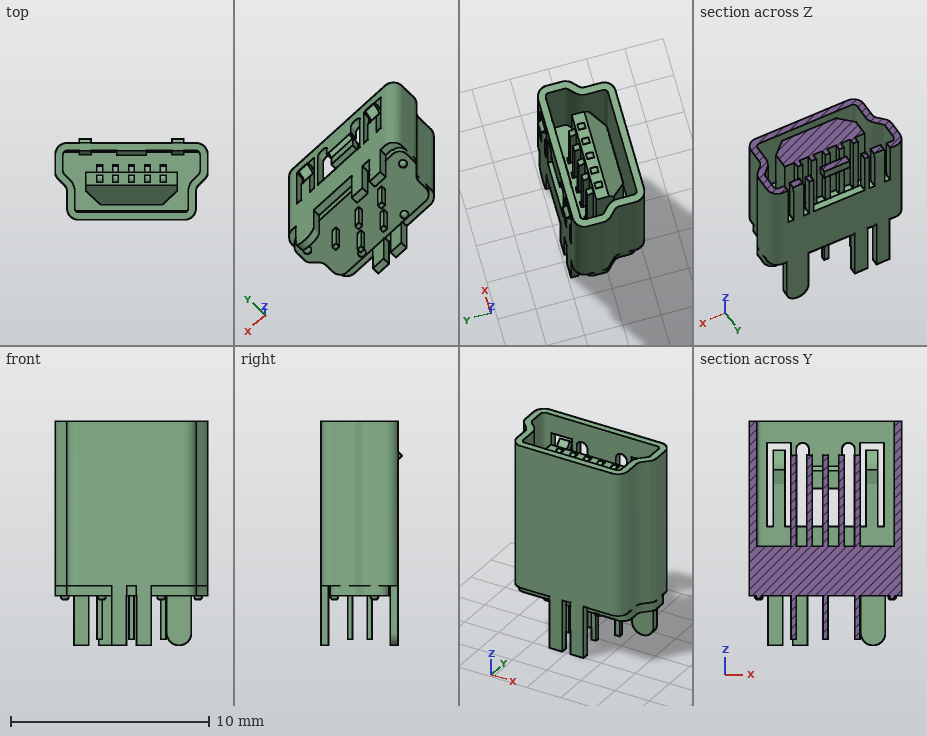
import cadquery as cq
import math


total_height = 11.3
shell_width = 7.7
shell_depth = 3.89
shell_bottom = 3.01
wall = 0.4
narrow_inset = 0.59
shell_step_y = 2.2
shell_corner_radius = 0.6
shell_neck_radius = 0.37

base_bottom = 2.5
floor_height = 5.01
base_front = 0.45
base_back = 3.44
base_step_y = 2.24
base_corner_radius = 0.5
base_step_radius = 0.3
base_neck_radius = 0.49
foot_radius = 0.2
foot_height = 0.19
foot_rounding = 0.15
foot_centres = [(-3.36, 2.7), (-1.49, 0.68), (1.49, 0.68), (3.36, 2.7)]

tongue_top = 10.28
tongue_width = 4.63
tongue_front_width = 3.12
tongue_back = 2.4
tongue_front = 0.77
tongue_corner_y = 1.48
tongue_slope_y = 1.74

contact_pitch = 0.8
contact_count = 5
contact_width = 0.29
bump_front = 1.9
bump_back = 2.26
bump_height = 0.08
contact_shoulder_y = 2.71
contact_top = 9.72
clearance_back = 2.79
clearance_depth = 0.45

pin_width = 0.27
pin_depth = 0.25
pin_bottom = 0.3
pin_front_row_y = 1.47
pin_back_row_y = 2.45

leg_width = 0.76
front_leg_x = 0.62
back_leg_centres = [-2.53, -1.28]
round_leg_width = 1.25
round_leg_x = 2.4

opening_top = 10.2
opening_bottom = 6.0
side_opening_width = 1.2
side_spring_x = 2.34
side_spring_width = 0.6
slot_x = 1.15
slot_width = 0.63
latch_width = 1.49
latch_bend_top = 9.04
latch_lip_bottom = 7.91
latch_reach = 0.23
spring_bend_start = 8.14
spring_bend_end = 8.86
spring_bulge = 0.2
spring_bend_radius = 1.11
bend_angle = 45.0
spring_tip_length = 0.28

inner_back = shell_depth - wall
half_step_tangent = math.tan(math.radians(45 / 2))
cos45 = math.cos(math.radians(45))
full_round = 0.499


def block(x_range, y_range, z_range):
    """Axis-aligned box between the given limits."""
    size = [high - low for low, high in (x_range, y_range, z_range)]
    corner = (x_range[0], y_range[0], z_range[0])
    return cq.Workplane("XY").box(*size, centered=False).translate(corner)


def centred_block(x, width, y_range, z_range):
    """Box of the given width centred on x."""
    return block((x - width / 2, x + width / 2), y_range, z_range)


def extrude_along_x(profile, x, width):
    """Extrude a closed YZ profile symmetrically about x."""
    return profile.extrude(width / 2, both=True).translate((x, 0, 0))


def stepped_prism(width, front, back, step_y, corner_radius, step_radius, neck_radius, bottom, top):
    """Prism with the socket outline: wide at the back, stepped in at 45 degrees to a narrow front."""
    wide = width / 2
    narrow = wide - narrow_inset
    neck_y = step_y - narrow_inset
    right_side = [(narrow, front), (narrow, neck_y), (wide, step_y), (wide, back)]
    left_side = [(-x, y) for x, y in reversed(right_side)]
    prism = (
        cq.Workplane("XY", origin=(0, 0, bottom))
        .polyline(right_side + left_side)
        .close()
        .extrude(top - bottom)
    )
    margin = 0.01
    radius_at_y = {front: corner_radius, neck_y: neck_radius, step_y: step_radius, back: corner_radius}
    for y, radius in radius_at_y.items():
        edges_at_y = cq.selectors.BoxSelector(
            (-width, y - margin, bottom - margin), (width, y + margin, top + margin)
        )
        prism = prism.edges("|Z").edges(edges_at_y).fillet(radius)
    return prism


def make_cavity():
    """Space inside the shell, a constant wall thickness from its outside."""
    inner_radius = shell_corner_radius - wall
    return stepped_prism(
        shell_width - 2 * wall, wall, inner_back, shell_step_y + wall * half_step_tangent,
        inner_radius, inner_radius, shell_neck_radius + wall, shell_bottom, total_height,
    )


def make_shell():
    outside = stepped_prism(
        shell_width, 0, shell_depth, shell_step_y,
        shell_corner_radius, shell_corner_radius, shell_neck_radius, shell_bottom, total_height,
    )
    shell = outside.cut(make_cavity())
    wall_range = (inner_back, shell_depth)
    for side in (-1, 1):
        opening = centred_block(
            side * side_spring_x, side_opening_width, wall_range, (opening_bottom, opening_top)
        )
        slot = centred_block(side * slot_x, slot_width, wall_range, (opening_bottom, opening_top))
        slot = slot.edges("|Y and >Z").fillet(full_round * slot_width)
        shell = shell.cut(opening).cut(slot)
    latch_gap = centred_block(0, 2 * slot_x, wall_range, (opening_bottom, latch_bend_top))
    return shell.cut(latch_gap)


def make_side_spring(x):
    """Spring strip rising from the opening's lower edge, bowed inward, its tip bent out at 45 degrees."""
    bow_inner = inner_back - spring_bulge
    bow_outer = bow_inner + wall
    bend_centre = (bow_inner + spring_bend_radius, spring_bend_end)

    def bend_point(radius, degrees):
        angle = math.radians(degrees)
        return bend_centre[0] - radius * math.cos(angle), bend_centre[1] + radius * math.sin(angle)

    def tip_corner(radius):
        y, z = bend_point(radius, bend_angle)
        return y + spring_tip_length * cos45, z + spring_tip_length * cos45

    inner_radius = spring_bend_radius
    outer_radius = spring_bend_radius - wall
    profile = (
        cq.Workplane("YZ")
        .moveTo(inner_back, opening_bottom)
        .lineTo(inner_back, spring_bend_start)
        .lineTo(bow_inner, spring_bend_end)
        .threePointArc(bend_point(inner_radius, bend_angle / 2), bend_point(inner_radius, bend_angle))
        .lineTo(*tip_corner(inner_radius))
        .lineTo(*tip_corner(outer_radius))
        .lineTo(*bend_point(outer_radius, bend_angle))
        .threePointArc(bend_point(outer_radius, bend_angle / 2), (bow_outer, spring_bend_end))
        .lineTo(shell_depth, spring_bend_start)
        .lineTo(shell_depth, opening_bottom)
        .close()
    )
    return extrude_along_x(profile, x, side_spring_width)


def make_latch():
    """Middle strip hanging from the wall, its lower lip bent inward at 45 degrees."""
    lip_top = latch_bend_top - latch_reach
    profile = cq.Workplane("YZ").polyline([
        (inner_back, latch_bend_top),
        (inner_back - latch_reach, lip_top),
        (inner_back - latch_reach, latch_lip_bottom),
        (shell_depth - latch_reach, latch_lip_bottom),
        (shell_depth - latch_reach, lip_top),
        (shell_depth, latch_bend_top),
    ]).close()
    return extrude_along_x(profile, 0, latch_width)


def make_base():
    """Flange below the shell, its four feet, and the block that closes the shell's lower end."""
    flange = stepped_prism(
        shell_width, base_front, base_back, base_step_y,
        base_corner_radius, base_step_radius, base_neck_radius, base_bottom, shell_bottom,
    )
    plug_limits = centred_block(
        0, shell_width, (base_front, base_back), (shell_bottom, floor_height)
    )
    base = flange.union(make_cavity().intersect(plug_limits))
    foot = cq.Workplane("XY", origin=(0, 0, base_bottom)).circle(foot_radius).extrude(-foot_height)
    foot = foot.faces("<Z").edges().fillet(foot_rounding)
    for x, y in foot_centres:
        base = base.union(foot.translate((x, y, 0)))
    return base


def make_tongue():
    half = tongue_width / 2
    front_half = tongue_front_width / 2
    tongue = (
        cq.Workplane("XY", origin=(0, 0, floor_height))
        .polyline([
            (-half, tongue_back), (-half, tongue_corner_y), (-front_half, tongue_front),
            (front_half, tongue_front), (half, tongue_corner_y), (half, tongue_back),
        ])
        .close()
        .extrude(tongue_top - floor_height)
    )
    slope_run = tongue_slope_y - tongue_front
    above_slope = cq.Workplane("YZ").polyline([
        (tongue_slope_y, tongue_top),
        (tongue_front, tongue_top),
        (tongue_front, tongue_top - slope_run),
    ]).close()
    return tongue.cut(extrude_along_x(above_slope, 0, tongue_width))


def make_bump(x):
    """Arched contact surface on top of the tongue."""
    bump_middle = (bump_front + bump_back) / 2
    profile = (
        cq.Workplane("YZ")
        .moveTo(bump_front, tongue_top)
        .threePointArc((bump_middle, tongue_top + bump_height), (bump_back, tongue_top))
        .close()
    )
    return extrude_along_x(profile, x, contact_width)


def make_contact(x):
    """Contact strip behind the tongue; its top is a hollow curve that flattens towards the shoulder."""
    start_slope, middle_slope, end_slope = (math.radians(degrees) for degrees in (45, 30, 15))
    radius = (contact_shoulder_y - tongue_back) / (math.sin(start_slope) - math.sin(end_slope))

    def curve_point(slope):
        y = tongue_back + radius * (math.sin(start_slope) - math.sin(slope))
        z = contact_top - radius * (math.cos(slope) - math.cos(start_slope))
        return y, z

    profile = (
        cq.Workplane("YZ")
        .moveTo(tongue_back, floor_height)
        .lineTo(tongue_back, contact_top)
        .threePointArc(curve_point(middle_slope), curve_point(end_slope))
        .lineTo(contact_shoulder_y, floor_height)
        .close()
    )
    return extrude_along_x(profile, x, contact_width)


def make_clearance(x):
    """Narrow recess in the floor behind a contact strip."""
    return centred_block(
        x, contact_width, (contact_shoulder_y, clearance_back),
        (floor_height - clearance_depth, floor_height),
    )


def make_pin(x, row_y):
    y_range = (row_y - pin_depth / 2, row_y + pin_depth / 2)
    return centred_block(x, pin_width, y_range, (pin_bottom, base_bottom))


def make_shell_legs():
    leg_range = (0, shell_bottom)
    front_range = (0, wall)
    back_range = (inner_back, shell_depth)
    legs = centred_block(round_leg_x, round_leg_width, back_range, leg_range)
    legs = legs.edges("|Y and <Z").fillet(full_round * round_leg_width)
    for x in (-front_leg_x, front_leg_x):
        legs = legs.union(centred_block(x, leg_width, front_range, leg_range))
    for x in back_leg_centres:
        legs = legs.union(centred_block(x, leg_width, back_range, leg_range))
    return legs


result = make_shell().union(make_base()).union(make_shell_legs()).union(make_tongue())
result = result.union(make_latch())
for spring_x in (-side_spring_x, side_spring_x):
    result = result.union(make_side_spring(spring_x))

for index in range(contact_count):
    contact_x = (index - (contact_count - 1) / 2) * contact_pitch
    row_y = pin_back_row_y if index % 2 == 0 else pin_front_row_y
    result = result.cut(make_clearance(contact_x))
    result = result.union(make_bump(contact_x)).union(make_contact(contact_x))
    result = result.union(make_pin(contact_x, row_y))